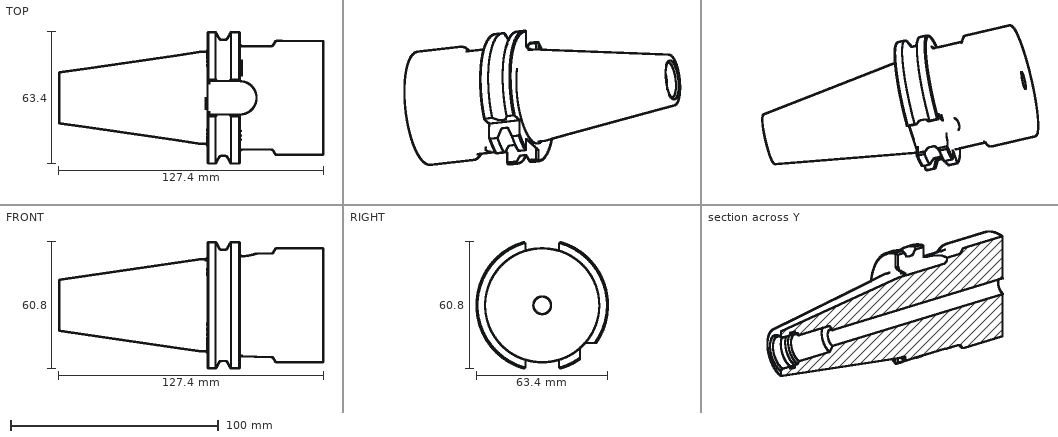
import cadquery as cq
import math

total_length = 127.4
gauge_plane = 67.9
flange_start = 71.5
groove_start = 75.4
groove_end = 82.8
flange_end = 87.1
slot_end = 95.1
nose_start = 104.3

gauge_radius = 44.5 / 2
small_end_radius = gauge_radius - gauge_plane * 7 / 24 / 2
small_end_fillet = 0.6
shank_fillet = 0.9

flank_slope = math.tan(math.radians(30))
flange_radius = 31.7
flange_chamfer = 0.5
groove_radius = 28.0
groove_run = (flange_radius - groove_radius) * flank_slope

neck_radius = 25.0
nose_radius = 27.5
nose_run = (nose_radius - neck_radius) * flank_slope
shoulder_fillet = 1.0
nose_fillet = 0.8

slot_half_width = 8.0
upper_floor = 22.2
lower_floor = 24.7
upper_slot_fillet = 1.8
lower_slot_fillet = 0.5
mouth_chamfer = 0.9

notch_wall = 18.2

entry_radius = 9.4
pilot_radius = 8.4
pilot_depth = 9.7
thread_radius = 7.0
thread_depth = 28.0
through_radius = 4.2
thread_chamfer_run = (pilot_radius - thread_radius) * flank_slope
thread_cone_run = (thread_radius - through_radius) * flank_slope

ring_start = 5.5
ring_width = 2.5
ring_outer_radius = 9.7


def revolve_about_x(points):
    """Turns a half profile of (x, radius) points about the X axis."""
    return cq.Workplane("XZ").polyline(points).close().revolve(360, (0, 0, 0), (1, 0, 0))


def rims(body, *places):
    """Selects the circular edges with the given (x, radius)."""

    def matches(edge):
        return edge.geomType() == "CIRCLE" and any(
            math.isclose(edge.Center().x, x, abs_tol=0.01) and math.isclose(edge.radius(), r, abs_tol=0.01)
            for x, r in places
        )

    return body.newObject([edge for edge in body.edges().vals() if matches(edge)])


def turned_blank():
    groove_floor_start = groove_start + groove_run
    groove_floor_end = groove_end - groove_run
    neck_end = nose_start - nose_run
    body = revolve_about_x([
        (0, 0),
        (0, small_end_radius),
        (gauge_plane, gauge_radius),
        (flange_start, gauge_radius),
        (flange_start, flange_radius),
        (groove_start, flange_radius),
        (groove_floor_start, groove_radius),
        (groove_floor_end, groove_radius),
        (groove_end, flange_radius),
        (flange_end, flange_radius),
        (flange_end, neck_radius),
        (neck_end, neck_radius),
        (nose_start, nose_radius),
        (total_length, nose_radius),
        (total_length, 0),
    ])
    body = rims(body, (flange_start, flange_radius), (flange_end, flange_radius)).chamfer(flange_chamfer)
    body = rims(body, (flange_start, gauge_radius)).fillet(shank_fillet)
    body = rims(
        body,
        (groove_floor_start, groove_radius),
        (groove_floor_end, groove_radius),
        (flange_end, neck_radius),
        (neck_end, neck_radius),
        (nose_start, nose_radius),
    ).fillet(shoulder_fillet)
    return rims(body, (0, small_end_radius), (total_length, nose_radius)).fillet(nose_fillet)


def slot_cutter(floor, fillet):
    """A round-ended slot on the +Z side, with chamfered edges at its mouth and along the rim."""
    height = flange_radius + 1.3 - floor
    corner_y = slot_half_width + mouth_chamfer
    corner_z = math.sqrt(flange_radius**2 - corner_y**2)
    round_centre = slot_end - slot_half_width

    straight = (
        cq.Workplane("XY", origin=(0, 0, floor))
        .moveTo(flange_start, -slot_half_width)
        .lineTo(round_centre, -slot_half_width)
        .threePointArc((slot_end, 0), (round_centre, slot_half_width))
        .lineTo(flange_start, slot_half_width)
        .close()
        .extrude(height)
        .faces("<Z").edges("not <X").fillet(fillet)
    )
    rim_chamfer = (
        cq.Workplane("YZ", origin=(flange_start, 0, 0))
        .polyline([
            (-slot_half_width, corner_z - mouth_chamfer),
            (slot_half_width, corner_z - mouth_chamfer),
            (corner_y + 1.3, corner_z + 1.3),
            (-corner_y - 1.3, corner_z + 1.3),
        ])
        .close()
        .extrude(flange_end - flange_start)
    )
    mouth_centre = floor + height / 2
    wide = cq.Sketch().rect(2 * corner_y, height).vertices("<Y").fillet(fillet)
    narrow = cq.Sketch().rect(2 * slot_half_width, height).vertices("<Y").fillet(fillet)
    mouth = (
        cq.Workplane("YZ", origin=(flange_start, 0, mouth_centre))
        .placeSketch(wide, narrow.moved(cq.Location(cq.Vector(0, 0, mouth_chamfer))))
        .loft()
    )
    return straight.union(rim_chamfer).union(mouth)


def notch_cutter():
    return (
        cq.Workplane("YZ", origin=(flange_start, notch_wall, -notch_wall))
        .rect(flange_radius, -flange_radius, centered=False)
        .extrude(flange_end - flange_start)
    )


def bore_cutter():
    entry_chamfer = entry_radius - pilot_radius
    return revolve_about_x([
        (0, 0),
        (0, entry_radius),
        (entry_chamfer, pilot_radius),
        (pilot_depth, pilot_radius),
        (pilot_depth + thread_chamfer_run, thread_radius),
        (thread_depth, thread_radius),
        (thread_depth + thread_cone_run, through_radius),
        (total_length, through_radius),
        (total_length, 0),
    ])


def make_ring():
    return (
        cq.Workplane("YZ", origin=(ring_start, 0, 0))
        .circle(ring_outer_radius)
        .circle(pilot_radius)
        .extrude(ring_width)
    )


ring = make_ring()
holder = (
    turned_blank()
    .cut(bore_cutter())
    .cut(ring)
    .cut(notch_cutter())
    .cut(slot_cutter(upper_floor, upper_slot_fillet))
    .cut(slot_cutter(lower_floor, lower_slot_fillet).mirror("XY"))
)

result = cq.Compound.makeCompound([holder.val(), ring.val()])